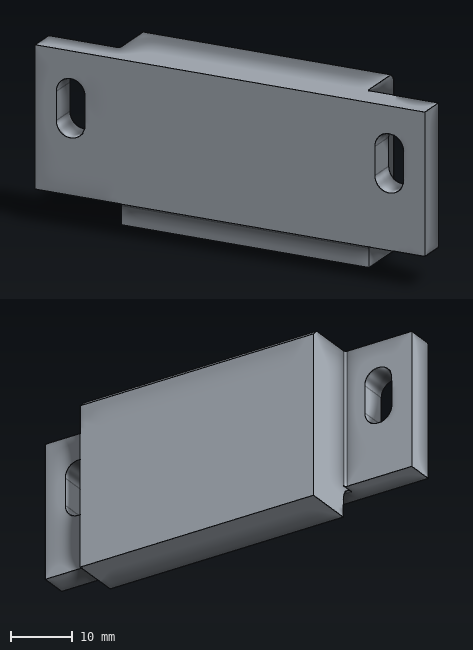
import cadquery as cq

plate_length = 71.0
plate_thickness = 5.0
plate_height = 25.0

block_length = 45.15
total_depth = 14.4
total_height = 30.8
block_drop = total_height - plate_height
lip_setback = 5.5
cove_radius = 2.5
top_chamfer = 1.0
corner_radius = 0.5

slot_spacing = 58.0
slot_width = 5.2
slot_height = 10.2
slot_center_z = 15.05


def make_plate():
    plate = cq.Workplane("XY").box(
        plate_length, plate_thickness, plate_height, centered=(True, False, False)
    )
    slots = (
        cq.Workplane("XZ")
        .pushPoints([(-slot_spacing / 2, slot_center_z), (slot_spacing / 2, slot_center_z)])
        .slot2D(slot_height, slot_width, 90)
        .extrude(-plate_thickness)
    )
    return plate.cut(slots)


def make_block():
    cove_front = lip_setback - cove_radius
    cove_mid_offset = cove_radius * 0.5**0.5
    return (
        cq.Workplane("YZ", origin=(-block_length / 2, 0, 0))
        .moveTo(lip_setback, -block_drop)
        .lineTo(lip_setback, -cove_radius)
        .threePointArc(
            (cove_front + cove_mid_offset, -cove_radius + cove_mid_offset),
            (cove_front, 0),
        )
        .lineTo(cove_front, plate_height)
        .lineTo(total_depth - top_chamfer, plate_height)
        .lineTo(total_depth, plate_height - top_chamfer)
        .lineTo(total_depth, -block_drop)
        .close()
        .extrude(block_length)
    )


def round_inner_corners(body):
    for side in (-1, 1):
        corner = cq.selectors.NearestToPointSelector(
            (side * block_length / 2, plate_thickness, plate_height / 2)
        )
        body = body.edges("|Z").edges(corner).fillet(corner_radius)
    return body


result = round_inner_corners(make_plate().union(make_block()))